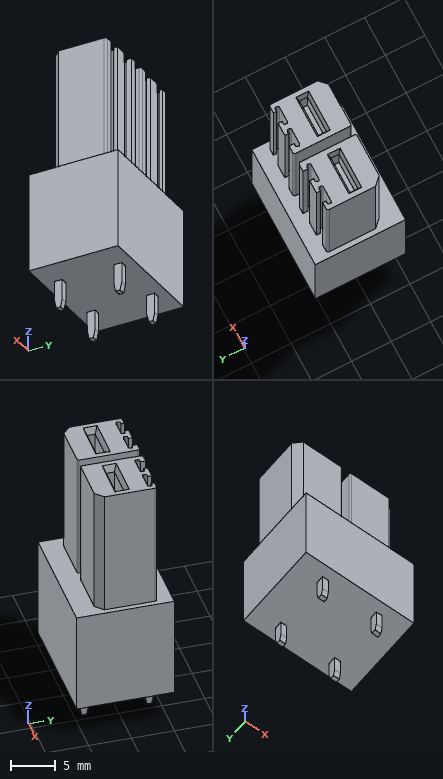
import cadquery as cq

BLOCK_X = 15.25
BLOCK_Y = 11.4
BLOCK_HEIGHT = 12.5

OVERALL_HEIGHT = 31.5

TOP_Z = 28.0
TOWER_INNER_X = 0.57
TOWER_OUTER_X = 7.0
TOWER_HEIGHT = TOP_Z - BLOCK_HEIGHT
TOWER_FRONT_Y = -3.18
TOWER_CHAMFER = 0.95
FRONT_EDGE_RADIUS = 0.2
BACK_EDGE_RADIUS = 0.28

INNER_LIP_Y = 4.13
MIDDLE_LIP_Y = 3.97
OUTER_LIP_Y = 3.87
GROOVE_X = [2.33, 5.25]
GROOVE_NECK = 1.32
GROOVE_WIDTH = 2.27
GROOVE_FLOOR_Y = 2.95
GROOVE_DEPTH = 0.5
GROOVE_RADIUS = 0.2

SLOT_X = 3.78
SLOT_Y = 0.0
SLOT_MOUTH = (5.17, 1.6)
SLOT_THROAT = (4.57, 1.0)
FUNNEL_DEPTH = 0.9
THROAT_DEPTH = 3.0

PIN_PITCH = 7.6
PIN_THICKNESS = 0.82
PIN_WIDTH = 1.0
PIN_TIP_WIDTH = 0.57
PIN_LENGTH = OVERALL_HEIGHT - TOP_Z
PIN_TIP_LENGTH = 1.0


def make_block():
    return cq.Workplane("XY").box(BLOCK_X, BLOCK_Y, BLOCK_HEIGHT, centered=(True, True, False))


def cut_t_groove(tower, centre_x):
    """Cut a full-height T-groove, open to +Y, into the tower's back."""
    chamber = (
        cq.Workplane("XY", origin=(centre_x, GROOVE_FLOOR_Y + GROOVE_DEPTH / 2, BLOCK_HEIGHT))
        .rect(GROOVE_WIDTH, GROOVE_DEPTH)
        .extrude(TOWER_HEIGHT)
        .edges("|Z")
        .fillet(GROOVE_RADIUS)
    )
    neck_length = INNER_LIP_Y - GROOVE_FLOOR_Y
    neck = (
        cq.Workplane("XY", origin=(centre_x, GROOVE_FLOOR_Y + neck_length / 2, BLOCK_HEIGHT))
        .rect(GROOVE_NECK, neck_length)
        .extrude(TOWER_HEIGHT)
    )
    return tower.cut(chamber).cut(neck)


def cut_contact_slot(tower):
    """Cut the tapered mouth and the straight throat below it."""
    funnel = (
        cq.Workplane("XY", origin=(SLOT_X, SLOT_Y, TOP_Z))
        .rect(*SLOT_MOUTH)
        .workplane(offset=-FUNNEL_DEPTH)
        .rect(*SLOT_THROAT)
        .loft()
    )
    throat = (
        cq.Workplane("XY", origin=(SLOT_X, SLOT_Y, TOP_Z - FUNNEL_DEPTH))
        .rect(*SLOT_THROAT)
        .extrude(-THROAT_DEPTH)
    )
    return tower.cut(funnel).cut(throat)


def make_tower():
    """Make the +X tower, with its chamfered corner at the outer front."""
    inner_groove_x, outer_groove_x = GROOVE_X
    tower = (
        cq.Workplane("XY", origin=(0, 0, BLOCK_HEIGHT))
        .moveTo(TOWER_INNER_X, TOWER_FRONT_Y)
        .lineTo(TOWER_OUTER_X - TOWER_CHAMFER, TOWER_FRONT_Y)
        .lineTo(TOWER_OUTER_X, TOWER_FRONT_Y + TOWER_CHAMFER)
        .lineTo(TOWER_OUTER_X, OUTER_LIP_Y)
        .lineTo(outer_groove_x, OUTER_LIP_Y)
        .lineTo(outer_groove_x, MIDDLE_LIP_Y)
        .lineTo(inner_groove_x, MIDDLE_LIP_Y)
        .lineTo(inner_groove_x, INNER_LIP_Y)
        .lineTo(TOWER_INNER_X, INNER_LIP_Y)
        .close()
        .extrude(TOWER_HEIGHT)
    )
    tower = tower.edges("|Z and <X").edges("<Y").fillet(FRONT_EDGE_RADIUS)
    tower = tower.edges("|Z and >Y").edges("<X").fillet(BACK_EDGE_RADIUS)
    tower = tower.edges("|Z and >X").edges(">Y").fillet(BACK_EDGE_RADIUS)
    for centre_x in GROOVE_X:
        tower = cut_t_groove(tower, centre_x)
    return cut_contact_slot(tower)


def make_housing():
    right_tower = make_tower()
    left_tower = right_tower.mirror("YZ")
    return make_block().union(right_tower).union(left_tower)


def make_pin(x, y):
    """Make a flat pin whose two Y sides taper towards the tip."""
    return (
        cq.Workplane("YZ", origin=(x - PIN_THICKNESS / 2, y, 0))
        .moveTo(-PIN_WIDTH / 2, 0)
        .lineTo(-PIN_WIDTH / 2, PIN_TIP_LENGTH - PIN_LENGTH)
        .lineTo(-PIN_TIP_WIDTH / 2, -PIN_LENGTH)
        .lineTo(PIN_TIP_WIDTH / 2, -PIN_LENGTH)
        .lineTo(PIN_WIDTH / 2, PIN_TIP_LENGTH - PIN_LENGTH)
        .lineTo(PIN_WIDTH / 2, 0)
        .close()
        .extrude(PIN_THICKNESS)
    )


housing = make_housing()
pins = [
    make_pin(x, y)
    for x in (-PIN_PITCH / 2, PIN_PITCH / 2)
    for y in (-PIN_PITCH / 2, PIN_PITCH / 2)
]

result = cq.Compound.makeCompound([housing.val(), *[pin.val() for pin in pins]])